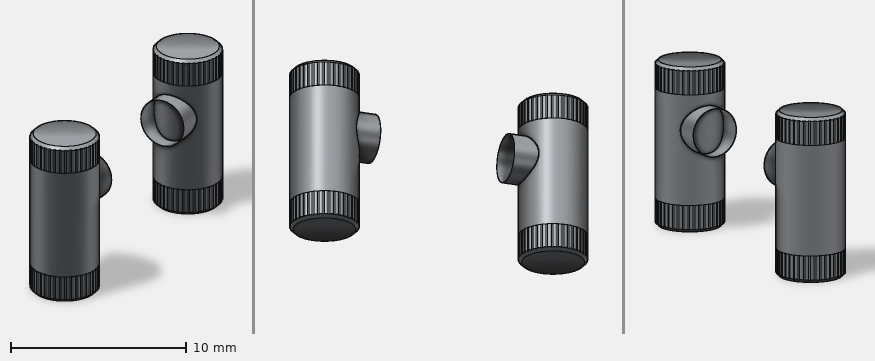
import cadquery as cq
import math

POST_RADIUS = 2.0
POST_HEIGHT = 9.7
END_CHAMFER = 0.2

BAND_HEIGHT = 1.6
RIB_COUNT = 40
RIB_RADIUS = 0.2
RIB_GAP = 0.1

STEM_RADIUS = 1.425
STEM_WALL = 0.025
STEM_REACH = 2.9
STEM_HEIGHT = 1.15

OVERALL_LENGTH = 18.0
POST_OFFSET = OVERALL_LENGTH / 2 - POST_RADIUS


def make_post():
    blank = cq.Workplane("XY").cylinder(POST_HEIGHT, POST_RADIUS)
    return blank.faces("<Z or >Z").chamfer(END_CHAMFER)


def on_circle(radius, degrees):
    angle = math.radians(degrees)
    return (radius * math.cos(angle), radius * math.sin(angle))


def make_rib_outline(base_z):
    """Closed outline of round ribs, cresting at the post radius, with flat floors between."""
    pitch = 360 / RIB_COUNT
    half_width = (2 * math.pi * POST_RADIUS / RIB_COUNT - RIB_GAP) / 2
    crest_drop = RIB_RADIUS - math.sqrt(RIB_RADIUS**2 - half_width**2)
    root_radius = math.hypot(POST_RADIUS - crest_drop, half_width)
    half_angle = math.degrees(math.asin(half_width / root_radius))

    outline = cq.Workplane("XY").workplane(offset=base_z)
    outline = outline.moveTo(*on_circle(root_radius, -half_angle))
    for rib in range(RIB_COUNT):
        middle = rib * pitch
        crest = on_circle(POST_RADIUS, middle)
        rib_end = on_circle(root_radius, middle + half_angle)
        outline = outline.threePointArc(crest, rib_end)
        if rib < RIB_COUNT - 1:
            outline = outline.lineTo(*on_circle(root_radius, middle + pitch - half_angle))
    return outline.close()


def make_band_waste(base_z):
    """Material around one band that is removed to leave the ribs."""
    ring = cq.Workplane("XY").workplane(offset=base_z).circle(2 * POST_RADIUS).extrude(BAND_HEIGHT)
    return ring.cut(make_rib_outline(base_z).extrude(BAND_HEIGHT))


def make_stem_cylinder(radius):
    """Cylinder from the post axis to the open rim, running toward +Y."""
    base = cq.Vector(0, 0, STEM_HEIGHT)
    return cq.Workplane(cq.Solid.makeCylinder(radius, STEM_REACH, base, cq.Vector(0, 1, 0)))


def make_knurled_post():
    """One body on the Z axis, with its stem toward +Y; the post closes the stem's inner end."""
    body = make_post()
    for base_z in (-POST_HEIGHT / 2, POST_HEIGHT / 2 - BAND_HEIGHT):
        body = body.cut(make_band_waste(base_z))
    tube = make_stem_cylinder(STEM_RADIUS).cut(make_stem_cylinder(STEM_RADIUS - STEM_WALL))
    return body.union(tube)


knurled_posts = []
for turn in (0, 180):
    post = make_knurled_post().translate((0, -POST_OFFSET, 0))
    knurled_posts.append(post.rotate((0, 0, 0), (0, 0, 1), turn))

result = cq.Compound.makeCompound([post.val() for post in knurled_posts])